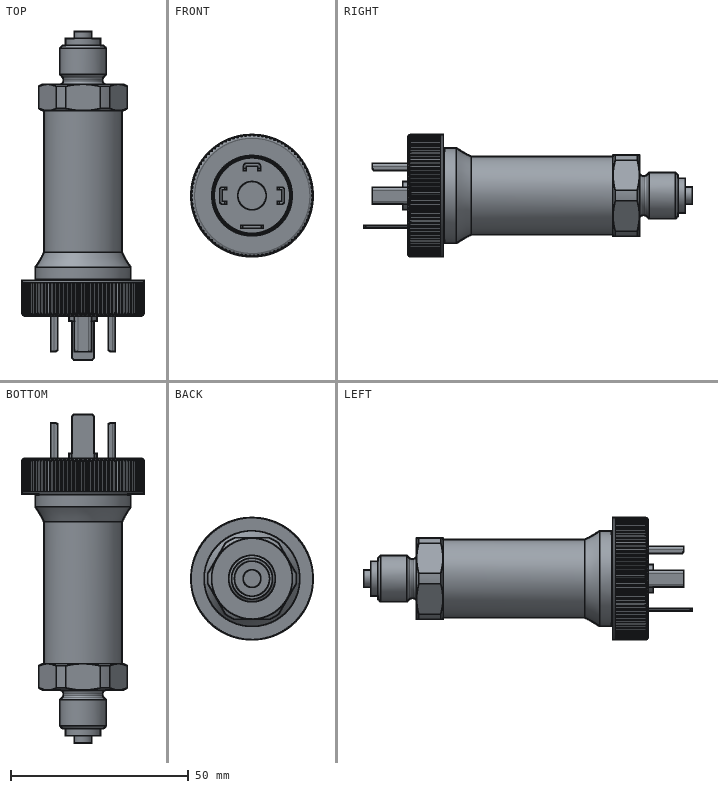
import cadquery as cq
import math


TOTAL_LENGTH = 92.7
GROUND_BLADE_LENGTH = 12.4
CHANNEL_LENGTH = 10.0
NUT_LENGTH = 10.1
COLLAR_LENGTH = 3.65
FLARE_LENGTH = 4.2
HEX_LENGTH = 7.5
NECK_LENGTH = 2.75
THREAD_LENGTH = 8.15
SPIGOT_LENGTH = 2.0
TIP_LENGTH = 2.0

TIP_END = TOTAL_LENGTH - GROUND_BLADE_LENGTH
TIP_START = TIP_END - TIP_LENGTH
THREAD_END = TIP_START - SPIGOT_LENGTH
THREAD_START = THREAD_END - THREAD_LENGTH
HEX_END = THREAD_START - NECK_LENGTH
HEX_START = HEX_END - HEX_LENGTH
COLLAR_END = NUT_LENGTH + COLLAR_LENGTH
FLARE_END = COLLAR_END + FLARE_LENGTH

TIP_DIA = 5.0
SPIGOT_DIA = 9.9
THREAD_DIA = 13.16
THREAD_END_CHAMFER = 0.8
NECK_DIA = 11.2
NECK_CHAMFER = (THREAD_DIA - NECK_DIA) / 2
NECK_FILLET = 0.9

HEX_FLATS = 23.0
HEX_CORNER_DIA = 25.0
HEX_TURN = 30
HEX_FACE_DIA = 22.8
HEX_CHAMFER_ANGLE = math.radians(30)

BODY_DIA = 22.1
COLLAR_DIA = 27.0
COLLAR_GAP = 0.25
COLLAR_GAP_DIA = 25.0
FLARE_SAG = 0.15

NUT_DIA = 34.5
NUT_FACE_FILLET = 1.0
NUT_BORE_DIA = 22.3
NUT_BORE_FACE_DIA = 22.7
NUT_BORE_CHAMFER = (NUT_BORE_FACE_DIA - NUT_BORE_DIA) / 2
KNURL_COUNT = 90
KNURL_CREST_SHARE = 0.22
KNURL_DEPTH = 0.42
KNURL_MARGIN = 0.7

CARRIER_DIA = 22.1
CARRIER_FACE_DIA = 21.3
CARRIER_CHAMFER = (CARRIER_DIA - CARRIER_FACE_DIA) / 2
CARRIER_GAP_DEPTH = 1.0
BOSS_DIA = 8.0
BOSS_HEIGHT = 1.4

CONTACT_THICKNESS = 0.8
CONTACT_OUTER_RADIUS = 9.15
CONTACT_ROOT = 1.0
CHANNEL_WIDTH = 4.8
CHANNEL_HEIGHT = 2.1
CHANNEL_EDGE_RADIUS = 0.85
CHANNEL_TIP_CHAMFER = 0.7
CHANNEL_TIP_CHAMFER_LENGTH = 0.4
CHANNEL_ANGLES = (-90, 0, 90)
BLADE_WIDTH = 6.3
BLADE_TIP_CHAMFER = 0.6


def disc(diameter, start, end):
    """Cylinder about the Y axis between two stations."""
    plane = cq.Workplane("XZ", origin=(0, end, 0))
    return plane.circle(diameter / 2).extrude(end - start)


def turned(profile):
    """Solid of revolution about Y of a closed profile in the XY plane."""
    return profile.close().revolve(360, (0, 0, 0), (0, 1, 0))


def make_port():
    thread_radius = THREAD_DIA / 2
    neck_radius = NECK_DIA / 2
    bend = NECK_FILLET * (1 - math.sqrt(0.5))
    neck_end = THREAD_START - NECK_CHAMFER
    run_out = NECK_FILLET * math.tan(math.pi / 8)
    run_out_on_chamfer = run_out * math.sqrt(0.5)
    run_out_middle = NECK_FILLET * math.sin(math.pi / 8)
    run_out_rise = NECK_FILLET * (1 - math.cos(math.pi / 8))
    profile = (
        cq.Workplane("XY")
        .moveTo(0, HEX_END)
        .lineTo(neck_radius + NECK_FILLET, HEX_END)
        .threePointArc(
            (neck_radius + bend, HEX_END + bend),
            (neck_radius, HEX_END + NECK_FILLET),
        )
        .lineTo(neck_radius, neck_end - run_out)
        .threePointArc(
            (neck_radius + run_out_rise, neck_end - run_out + run_out_middle),
            (neck_radius + run_out_on_chamfer, neck_end + run_out_on_chamfer),
        )
        .lineTo(thread_radius, THREAD_START)
        .lineTo(thread_radius, THREAD_END - THREAD_END_CHAMFER)
        .lineTo(thread_radius - THREAD_END_CHAMFER, THREAD_END)
        .lineTo(SPIGOT_DIA / 2, THREAD_END)
        .lineTo(SPIGOT_DIA / 2, TIP_START)
        .lineTo(TIP_DIA / 2, TIP_START)
        .lineTo(TIP_DIA / 2, TIP_END)
        .lineTo(0, TIP_END)
    )
    return turned(profile)


def make_hexagon():
    corner_radius = HEX_CORNER_DIA / 2
    face_radius = HEX_FACE_DIA / 2
    chamfer_length = (corner_radius - face_radius) * math.tan(HEX_CHAMFER_ANGLE)
    blank = turned(
        cq.Workplane("XY")
        .moveTo(0, HEX_START)
        .lineTo(face_radius, HEX_START)
        .lineTo(corner_radius, HEX_START + chamfer_length)
        .lineTo(corner_radius, HEX_END - chamfer_length)
        .lineTo(face_radius, HEX_END)
        .lineTo(0, HEX_END)
    )
    prism = (
        cq.Workplane("XZ", origin=(0, HEX_END, 0))
        .polygon(6, HEX_FLATS, circumscribed=True)
        .extrude(HEX_LENGTH)
        .rotate((0, 0, 0), (0, 1, 0), HEX_TURN)
    )
    return blank.intersect(prism)


def make_housing():
    body_radius = BODY_DIA / 2
    collar_radius = COLLAR_DIA / 2
    flare_middle = (
        (body_radius + collar_radius) / 2 - FLARE_SAG,
        (COLLAR_END + FLARE_END) / 2,
    )
    profile = (
        cq.Workplane("XY")
        .moveTo(0, NUT_LENGTH)
        .lineTo(COLLAR_GAP_DIA / 2, NUT_LENGTH)
        .lineTo(COLLAR_GAP_DIA / 2, NUT_LENGTH + COLLAR_GAP)
        .lineTo(collar_radius, NUT_LENGTH + COLLAR_GAP)
        .lineTo(collar_radius, COLLAR_END)
        .threePointArc(flare_middle, (body_radius, FLARE_END))
        .lineTo(body_radius, HEX_START)
        .lineTo(0, HEX_START)
    )
    return turned(profile)


def polar_point(radius, angle):
    """Point at a radius and angle from the center."""
    return (radius * math.cos(angle), radius * math.sin(angle))


def make_knurl():
    """Prism with flat-topped teeth between V grooves, ending short of the rear rim."""
    rim_radius = NUT_DIA / 2
    root_radius = rim_radius - KNURL_DEPTH
    pitch = 2 * math.pi / KNURL_COUNT
    half_crest = pitch * KNURL_CREST_SHARE / 2
    points = []
    for index in range(KNURL_COUNT):
        root = pitch * index
        crest = root + pitch / 2
        points.append(polar_point(root_radius, root))
        points.append(polar_point(rim_radius, crest - half_crest))
        points.append(polar_point(rim_radius, crest + half_crest))
    return (
        cq.Workplane("XZ", origin=(0, NUT_LENGTH - KNURL_MARGIN, 0))
        .polyline(points)
        .close()
        .extrude(NUT_LENGTH - KNURL_MARGIN)
    )


def make_nut():
    blank = disc(NUT_DIA, 0, NUT_LENGTH).faces("<Y").edges().fillet(NUT_FACE_FILLET)
    smooth_rim = disc(NUT_DIA, NUT_LENGTH - KNURL_MARGIN, NUT_LENGTH)
    return blank.intersect(make_knurl().union(smooth_rim))


def cut_carrier_gap(nut):
    """Narrow gap between the nut bore and the chamfered contact carrier."""
    carrier_radius = CARRIER_DIA / 2
    bore_radius = NUT_BORE_DIA / 2
    gap = turned(
        cq.Workplane("XY")
        .moveTo(CARRIER_FACE_DIA / 2, 0)
        .lineTo(NUT_BORE_FACE_DIA / 2, 0)
        .lineTo(bore_radius, NUT_BORE_CHAMFER)
        .lineTo(bore_radius, CARRIER_GAP_DEPTH)
        .lineTo(carrier_radius, CARRIER_GAP_DEPTH)
        .lineTo(carrier_radius, CARRIER_CHAMFER)
    )
    return nut.cut(gap)


def make_channel_contact():
    """U-shaped contact on the +Z side, open toward the axis."""
    outer = CONTACT_OUTER_RADIUS
    inner = outer - CHANNEL_HEIGHT
    length = CHANNEL_LENGTH + CONTACT_ROOT
    bar = (
        cq.Workplane("XY")
        .box(CHANNEL_WIDTH, length, CHANNEL_HEIGHT)
        .translate((0, CONTACT_ROOT - length / 2, outer - CHANNEL_HEIGHT / 2))
        .edges("|Y and >Z")
        .fillet(CHANNEL_EDGE_RADIUS)
    )
    hollow_height = CHANNEL_HEIGHT - CONTACT_THICKNESS
    hollow = (
        cq.Workplane("XY")
        .box(CHANNEL_WIDTH - 2 * CONTACT_THICKNESS, length, hollow_height)
        .translate((0, CONTACT_ROOT - length / 2, inner + hollow_height / 2))
    )
    tip_corner = (
        cq.Workplane("YZ")
        .moveTo(-CHANNEL_LENGTH, inner)
        .lineTo(-CHANNEL_LENGTH + CHANNEL_TIP_CHAMFER_LENGTH, inner)
        .lineTo(-CHANNEL_LENGTH, inner + CHANNEL_TIP_CHAMFER)
        .close()
        .extrude(CHANNEL_WIDTH / 2, both=True)
    )
    return bar.cut(hollow).cut(tip_corner)


def make_ground_blade():
    """Flat contact on the -Z side."""
    length = GROUND_BLADE_LENGTH + CONTACT_ROOT
    middle_z = -CONTACT_OUTER_RADIUS + CONTACT_THICKNESS / 2
    return (
        cq.Workplane("XY")
        .box(BLADE_WIDTH, length, CONTACT_THICKNESS)
        .translate((0, CONTACT_ROOT - length / 2, middle_z))
        .edges("|Z and <Y")
        .chamfer(BLADE_TIP_CHAMFER)
    )


result = cut_carrier_gap(make_nut())
result = result.union(make_housing()).union(make_hexagon()).union(make_port())
result = result.union(disc(BOSS_DIA, -BOSS_HEIGHT, CONTACT_ROOT))
for angle in CHANNEL_ANGLES:
    contact = make_channel_contact().rotate((0, 0, 0), (0, 1, 0), angle)
    result = result.union(contact)
result = result.union(make_ground_blade())